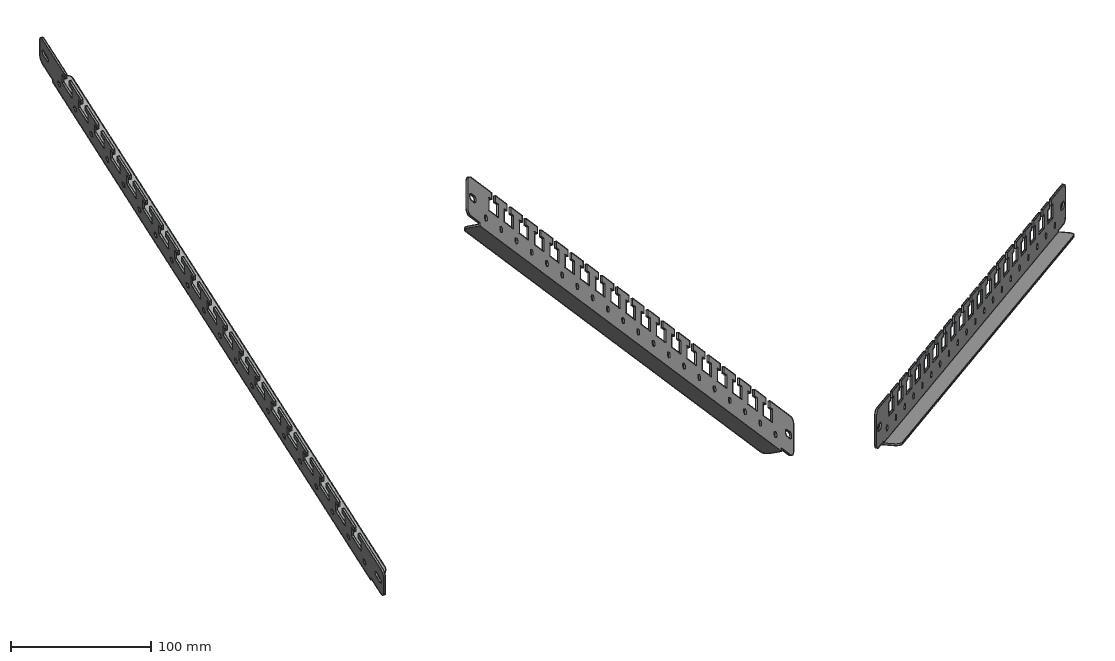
import cadquery as cq

length = 535.0
height = 32.0
depth = 14.0
thickness = 1.5

ear_corner_radius = 5.0
bend_clearance = 1.0
ear_bottom = thickness + bend_clearance

flange_end_inset = 20.0
flange_length = length - 2 * flange_end_inset
flange_corner_radius = 5.0

pitch = 25.0
notch_count = 19
notch_width = 15.0
notch_depth = 15.0
neck_width = 6.0
neck_depth = 5.0

hole_count = notch_count + 1
hole_diameter = 4.2
hole_height = 9.5

mount_slot_length = 10.0
mount_slot_width = 5.0
mount_slot_inset = 8.5
mount_slot_spacing = length - 2 * mount_slot_inset
mount_slot_height = (ear_bottom + height) / 2


def centred_positions(count, spacing):
    """X positions of a row of features centred on the part."""
    first = -(count - 1) * spacing / 2
    return [first + index * spacing for index in range(count)]


def plate_box(width, bottom, top):
    """Box through the plate thickness, centred on X, between two heights."""
    return (
        cq.Workplane("XY")
        .box(width, thickness, top - bottom, centered=(True, False, False))
        .translate((0, 0, bottom))
    )


def make_plate():
    """Upright plate with rounded corners, ending above the bend."""
    return plate_box(length, ear_bottom, height).edges("|Y").fillet(ear_corner_radius)


def make_angle():
    """Plate strip and rear flange joined at a sharp corner."""
    angle = (
        cq.Workplane("YZ")
        .polyline([
            (0, 0),
            (depth, 0),
            (depth, thickness),
            (thickness, thickness),
            (thickness, height),
            (0, height),
        ])
        .close()
        .extrude(flange_length / 2, both=True)
    )
    return angle.faces(">Y").edges("|Z").fillet(flange_corner_radius)


def make_notches():
    """T-shaped cutters: a narrow neck opening into a wider pocket."""
    neck = plate_box(neck_width, height - neck_depth, height)
    pocket = plate_box(notch_width, height - notch_depth, height - neck_depth)
    notch = neck.union(pocket)
    cutters = cq.Workplane("XY")
    for x in centred_positions(notch_count, pitch):
        cutters = cutters.add(notch.translate((x, 0, 0)))
    return cutters.combine()


def make_holes():
    """Cutters for the row of round holes below the notches."""
    points = [(x, hole_height) for x in centred_positions(hole_count, pitch)]
    return cq.Workplane("XZ").pushPoints(points).circle(hole_diameter / 2).extrude(-thickness)


def make_mount_slots():
    """Cutters for the round-ended mounting slots."""
    points = [(x, mount_slot_height) for x in centred_positions(2, mount_slot_spacing)]
    return (
        cq.Workplane("XZ")
        .pushPoints(points)
        .slot2D(mount_slot_length, mount_slot_width)
        .extrude(-thickness)
    )


result = (
    make_plate()
    .union(make_angle())
    .cut(make_notches())
    .cut(make_holes())
    .cut(make_mount_slots())
)